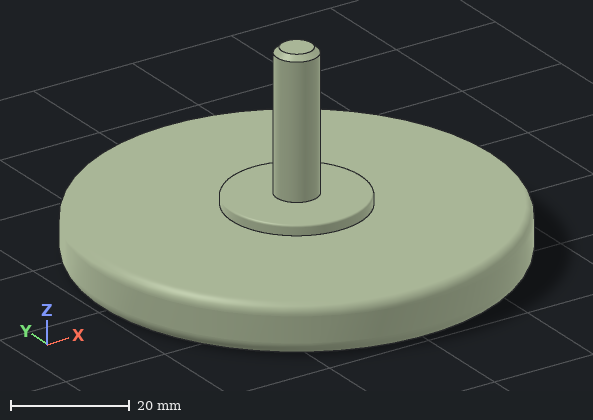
import cadquery as cq

disc_diameter = 80.0
disc_height = 10.0
disc_edge_radius = 2.5

collar_diameter = 26.0
collar_height = 2.0
collar_edge_radius = 0.5

overall_height = 39.0
stud_diameter = 8.0
stud_tip_chamfer = 1.0

collar_top = disc_height + collar_height
stud_length = overall_height - collar_top


def make_disc():
    """Round base with both rims rounded, standing on Z = 0."""
    disc = cq.Workplane("XY").circle(disc_diameter / 2).extrude(disc_height)
    return disc.edges("%CIRCLE").fillet(disc_edge_radius)


def make_collar():
    """Low round pad with a rounded upper rim."""
    collar = cq.Workplane("XY").workplane(offset=disc_height)
    collar = collar.circle(collar_diameter / 2).extrude(collar_height)
    return collar.faces(">Z").edges().fillet(collar_edge_radius)


def make_stud():
    """Central pin with a chamfered tip."""
    stud = cq.Workplane("XY").workplane(offset=collar_top)
    stud = stud.circle(stud_diameter / 2).extrude(stud_length)
    return stud.faces(">Z").edges().chamfer(stud_tip_chamfer)


result = make_disc().union(make_collar()).union(make_stud())